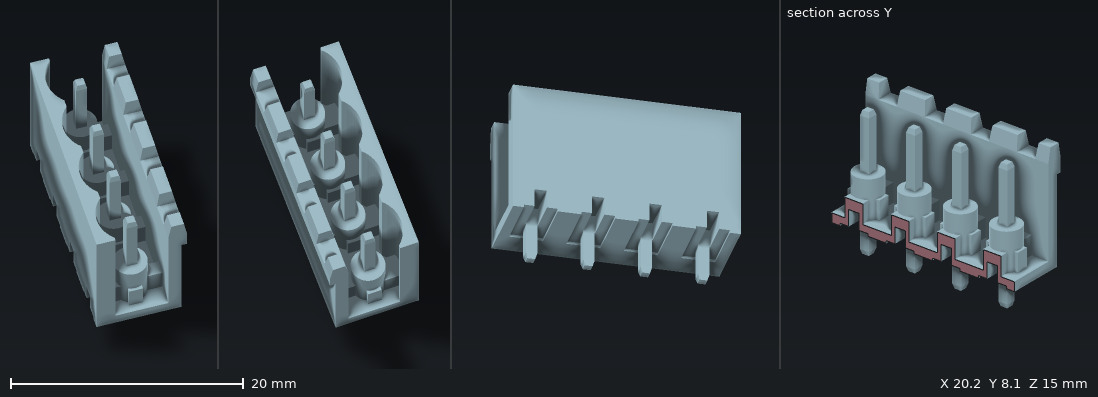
import cadquery as cq

pin_count = 4
pitch = 5.08
housing_length = 20.16
housing_height = 12.0
pin_positions = [(i - (pin_count - 1) / 2) * pitch for i in range(pin_count)]

front_y = -3.75
front_wall = 1.7
front_inner_y = front_y + front_wall
back_wall = 1.17
back_y = 3.85
back_inner_y = back_y - back_wall
floor_thickness = 1.0

lip_projection = 0.5
lip_y = back_y + lip_projection
lip_bottom = 9.0
taper_start = 10.5
taper_inset = 0.27
notch_bottom_width = 2.0
notch_top_width = 2.32

scallop_radius = 3.0

boss_diameter = 3.0
boss_top = 5.0
rib_top = 3.0
side_rib_span = 3.5
side_rib_width = 1.25
back_rib_width = 1.25
front_rib_width = 2.0

slot_width = 1.1
slot_height = 1.9
recess_width = boss_diameter
recess_height = 0.25

pin_width = 1.0
pin_bottom = -3.0
pin_top = 11.0
pin_tip_length = 0.5
pin_tip_width = 0.7


def box(x_center, x_size, y_min, y_max, z_min, z_max):
    """Block centred on x_center, with its Y and Z limits given."""
    return cq.Workplane("XY").box(x_size, y_max - y_min, z_max - z_min).translate(
        (x_center, (y_min + y_max) / 2, (z_min + z_max) / 2)
    )


def cylinder(x, diameter, z_min, z_max):
    """Upright cylinder on a pin axis."""
    return cq.Workplane("XY", origin=(x, 0, z_min)).circle(diameter / 2).extrude(z_max - z_min)


def make_channel():
    """U-shaped section with a tapered latch lip, run along X."""
    section = [
        (front_y, 0),
        (back_y, 0),
        (back_y, lip_bottom),
        (lip_y, lip_bottom),
        (lip_y, taper_start),
        (lip_y - taper_inset, housing_height),
        (back_inner_y + taper_inset, housing_height),
        (back_inner_y, taper_start),
        (back_inner_y, floor_thickness),
        (front_inner_y, floor_thickness),
        (front_inner_y, housing_height),
        (front_y, housing_height),
    ]
    return cq.Workplane("YZ").polyline(section).close().extrude(housing_length / 2, both=True)


def make_scallop(x):
    """Part of a cylinder on the pin axis that lies within the front wall."""
    scallop = cylinder(x, 2 * scallop_radius, floor_thickness, housing_height)
    front_zone = box(x, 2 * scallop_radius, front_y, front_inner_y, floor_thickness, housing_height)
    return scallop.intersect(front_zone)


def make_lip_notch(x):
    """Notch through the latch lip, wider at the top."""
    profile = [
        (x - notch_bottom_width / 2, taper_start),
        (x + notch_bottom_width / 2, taper_start),
        (x + notch_top_width / 2, housing_height),
        (x - notch_top_width / 2, housing_height),
    ]
    cutter = cq.Workplane("XZ", origin=(0, lip_y, 0)).polyline(profile).close()
    return cutter.extrude(lip_y - back_inner_y)


def make_pin_support(x):
    """Round boss with two side ribs and ribs to the front and back walls."""
    boss = cylinder(x, boss_diameter, 0, boss_top)
    side_ribs = box(x, side_rib_span, -side_rib_width / 2, side_rib_width / 2, 0, rib_top)
    back_rib = box(x, back_rib_width, 0, back_inner_y, 0, rib_top)
    front_rib = box(x, front_rib_width, front_y, 0, 0, rib_top)
    return boss.union(side_ribs).union(back_rib).union(front_rib)


def make_base_recess(x):
    """Shallow recess under the boss, open at the front and flat at the back."""
    return box(x, recess_width, front_y, recess_width / 2, 0, recess_height)


def make_base_slot(x):
    """Slot from the front of the base up to the front face of the pin."""
    return box(x, slot_width, front_y, -pin_width / 2, 0, slot_height)


def make_pin_hole(x):
    """Square hole that the pin fills, through the base and boss."""
    return box(x, pin_width, -pin_width / 2, pin_width / 2, 0, boss_top)


def make_housing():
    housing = make_channel()
    for x in pin_positions:
        housing = housing.cut(make_scallop(x))
        housing = housing.cut(make_lip_notch(x))
        housing = housing.union(make_pin_support(x))
        housing = housing.cut(make_base_recess(x))
        housing = housing.cut(make_base_slot(x))
        housing = housing.cut(make_pin_hole(x))
    return housing


def make_pin(x):
    """Square pin with a tapered tip at each end."""
    shank_bottom = pin_bottom + pin_tip_length
    shank_top = pin_top - pin_tip_length
    pin = box(x, pin_width, -pin_width / 2, pin_width / 2, shank_bottom, shank_top)
    for shank_end, tip_end in ((shank_bottom, pin_bottom), (shank_top, pin_top)):
        tip = (
            cq.Workplane("XY", origin=(x, 0, shank_end))
            .rect(pin_width, pin_width)
            .workplane(offset=tip_end - shank_end)
            .rect(pin_tip_width, pin_tip_width)
            .loft(ruled=True)
        )
        pin = pin.union(tip)
    return pin


housing = make_housing()
pins = [make_pin(x) for x in pin_positions]

result = cq.Compound.makeCompound([housing.val(), *[pin.val() for pin in pins]])